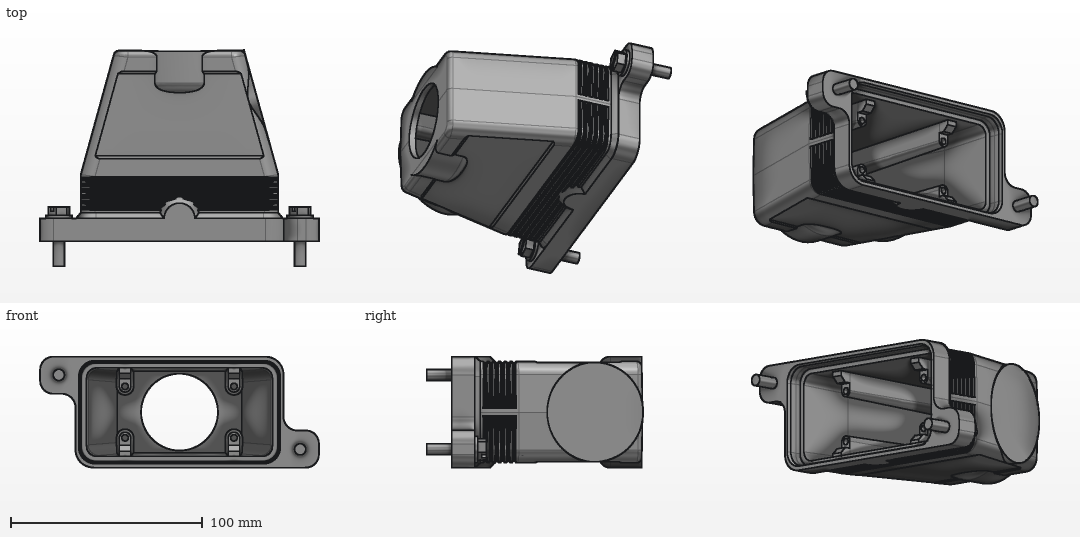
import cadquery as cq
import math


flange_thickness = 12.0
flange_half_width = 54.3
flange_half_height = 29.0
ear_reach = 72.75
ear_height = 19.5
ear_radius = 7.0
flange_corner_radius = 9.5

back_y = 99.6
bend_y = 35.0
body_half_width = 51.5
body_back_half_width = 33.7
body_half_height = 26.5
body_root_y = 5.0
body_edge_radius = 7.0
back_edge_radius = 3.0
draft_angle = 1.0
flare_length = 3.0
flare_rise = 2.5
flare_corner_radius = 10.3

panel_depth = 0.5
panel_front_y = 43.2
panel_back_y = 88.8
panel_slope_length = 1.4

groove_count = 6
groove_pitch = 3.0
groove_first_y = 17.5
groove_width = 2.4
groove_depth = 0.8
groove_wall_angle = 45.0
groove_web_half_height = 2.0

entry_diameter = 40.0
neck_radius = 29.0
neck_front_y = 76.8
neck_back_y = 99.2
neck_edge_radius = 5.9

pad_radius = 26.0
pad_centre_y = 74.87
pad_inner_depth = 10.0

lug_top_radius = 8.0
lug_side_angle = 45.0

recess_depth = 8.3
recess_half_width = 51.9
recess_half_height = 26.2
recess_radius = 8.0
rim_chamfer_width = 0.7
rim_chamfer_length = 2.0
recess_floor_chamfer_width = 0.6
recess_floor_chamfer_length = 2.8
floor_y = 96.0
cavity_bend_y = 40.0
cavity_half_width = 48.5
cavity_bend_half_width = 47.7
cavity_floor_half_width = 32.5
cavity_half_height = 23.1
cavity_floor_half_height = 21.2
cavity_edge_radius = 5.5

pillar_x = 28.4
pillar_z = 13.4
pillar_face_y = 19.0
pillar_half_width = 2.95
pillar_draft = 1.15
pillar_hole_diameter = 3.4
pillar_hole_depth = 12.0
foot_tip_y = 12.4
foot_top_z = 17.3
foot_chamfer = 3.1

screw_x = 62.9
screw_z = 19.4
screw_diameter = 5.9
screw_reach = 13.0
washer_diameter = 13.8
washer_thickness = 1.6
head_across_flats = 10.0
head_height = 4.5
head_turn = 44.0
screw_slot_width = 2.0
screw_slot_depth = 2.3


def plane_at(y):
    """Plane across the part at a given Y, facing +Y, with local y along Z."""
    return cq.Workplane(cq.Plane(origin=(0, y, 0), xDir=(-1, 0, 0), normal=(0, 1, 0)))


def rounded_bar(y, length, half_width, half_height, radius, taper=0.0):
    """Rounded rectangle extruded along +Y; a positive taper narrows it."""
    outline = cq.Sketch().rect(2 * half_width, 2 * half_height).vertices().fillet(radius)
    return plane_at(y).placeSketch(outline).extrude(length, taper=taper)


def mirrored_in_z(solid):
    return solid.union(solid.mirror("XY"))


def make_flange():
    w = flange_half_width
    h = flange_half_height
    ear_edge = h - ear_height
    flange = (
        cq.Workplane("XZ")
        .polyline([
            (-w, -h), (ear_reach, -h), (ear_reach, -ear_edge), (w, -ear_edge),
            (w, h), (-ear_reach, h), (-ear_reach, ear_edge), (-w, ear_edge),
        ])
        .close()
        .extrude(-flange_thickness)
    )
    mid_y = flange_thickness / 2
    for x, z in [(-w, -h), (w, h)]:
        flange = flange.edges(cq.selectors.NearestToPointSelector((x, mid_y, z))).fillet(flange_corner_radius)
    for side in (-1, 1):
        for x, z in [(ear_reach, -h), (ear_reach, -ear_edge), (w, -ear_edge)]:
            corner = (side * x, mid_y, side * z)
            flange = flange.edges(cq.selectors.NearestToPointSelector(corner)).fillet(ear_radius)
    return flange


def make_body():
    """Trapezoidal hood, drafted both ways from the parting plane Z = 0."""
    half = (
        cq.Workplane("XY")
        .polyline([
            (-body_half_width, body_root_y), (body_half_width, body_root_y),
            (body_half_width, bend_y), (body_back_half_width, back_y),
            (-body_back_half_width, back_y), (-body_half_width, bend_y),
        ])
        .close()
        .extrude(body_half_height, taper=draft_angle)
    )
    half = half.faces(">Z").edges("not(|X)").fillet(body_edge_radius)
    half = half.faces(">Y").edges("not(<Z)").fillet(back_edge_radius)
    return mirrored_in_z(half)


def make_panel_cut():
    """Full-width slab with sloped ends that lowers the broad faces."""
    bottom = body_half_height - panel_depth
    top = flange_half_height
    slope = panel_slope_length / panel_depth
    rise = (top - bottom) * slope
    front = panel_front_y + panel_slope_length
    back = panel_back_y - panel_slope_length
    slab = (
        cq.Workplane("YZ")
        .polyline([(front, bottom), (back, bottom), (back + rise, top), (front - rise, top)])
        .close()
        .extrude(body_half_width, both=True)
    )
    return mirrored_in_z(slab)


def make_groove(centre_y):
    """Ring with a trapezoidal section, interrupted by a web at Z = 0 on both flanks."""
    w = body_half_width
    h = body_half_height
    r = body_edge_radius
    floor_width = groove_width - 2 * groove_depth
    start = centre_y - groove_width / 2
    floor_start = start + groove_depth
    floor_end = floor_start + floor_width
    d = groove_depth
    core = rounded_bar(start, d, w, h, r, groove_wall_angle)
    core = core.union(rounded_bar(floor_start, floor_width, w - d, h - d, r - d))
    core = core.union(rounded_bar(floor_end, d, w - d, h - d, r - d, -groove_wall_angle))
    ring = rounded_bar(start, groove_width, w + d, h + d, r + d).cut(core)
    web = plane_at(start).rect(4 * w, 2 * groove_web_half_height).extrude(groove_width)
    return ring.cut(web)


def make_neck():
    neck = plane_at(neck_front_y).circle(neck_radius).extrude(neck_back_y - neck_front_y)
    return neck.faces("<Y").edges().fillet(neck_edge_radius)


def make_flank_pad():
    """Round pad filling the rounded edges of the +X flank, flush with that flank."""
    run = back_y - bend_y
    drop = body_half_width - body_back_half_width
    length = math.hypot(run, drop)
    centre_x = body_half_width - drop * (pad_centre_y - bend_y) / run
    flank = cq.Plane(
        origin=(centre_x, pad_centre_y, 0),
        xDir=(0, 0, 1),
        normal=(run / length, drop / length, 0),
    )
    return cq.Workplane(flank).circle(pad_radius).extrude(-pad_inner_depth)


def make_flare():
    """Sloped skirt between the body and the back of the flange."""
    angle = math.degrees(math.atan(flare_rise / flare_length))
    return rounded_bar(
        flange_thickness,
        flare_length,
        body_half_width + flare_rise,
        body_half_height + flare_rise,
        flare_corner_radius,
        angle,
    )


def make_lug():
    """Half-embedded cones on the broad faces, rising to the flange height."""
    height = flange_half_height - cavity_half_height
    lug = (
        cq.Workplane("XY", origin=(0, flange_thickness, flange_half_height))
        .circle(lug_top_radius)
        .extrude(-height, taper=-lug_side_angle)
    )
    in_front = cq.Workplane("XY").box(4 * flange_half_height, 2 * flange_thickness, 4 * flange_half_height)
    return mirrored_in_z(lug.cut(in_front))


def make_cavity():
    plan = (
        cq.Workplane("XY")
        .workplane(offset=-cavity_half_height)
        .polyline([
            (-cavity_half_width, recess_depth), (cavity_half_width, recess_depth),
            (cavity_bend_half_width, cavity_bend_y), (cavity_floor_half_width, floor_y),
            (-cavity_floor_half_width, floor_y), (-cavity_bend_half_width, cavity_bend_y),
        ])
        .close()
        .extrude(2 * cavity_half_height)
    )
    wedge = (
        cq.Workplane("YZ")
        .polyline([
            (recess_depth, -cavity_half_height), (floor_y, -cavity_floor_half_height),
            (floor_y, cavity_floor_half_height), (recess_depth, cavity_half_height),
        ])
        .close()
        .extrude(body_half_width, both=True)
    )
    cavity = plan.intersect(wedge)
    long_edges = cavity.edges("not(|X)").edges("not(|Z)")
    return long_edges.fillet(cavity_edge_radius)


def make_seal_recess():
    """Recess behind the mating face, chamfered at its mouth and around its floor."""
    w = recess_half_width
    h = recess_half_height
    r = recess_radius
    c = rim_chamfer_width
    floor_chamfer_y = recess_depth - recess_floor_chamfer_length
    mouth_angle = math.degrees(math.atan(rim_chamfer_width / rim_chamfer_length))
    floor_angle = math.degrees(math.atan(recess_floor_chamfer_width / recess_floor_chamfer_length))
    recess = rounded_bar(0, floor_chamfer_y, w, h, r)
    mouth = rounded_bar(0, rim_chamfer_length, w + c, h + c, r + c, mouth_angle)
    floor = rounded_bar(floor_chamfer_y, recess_floor_chamfer_length, w, h, r, floor_angle)
    return recess.union(mouth).union(floor)


def make_pillar():
    """Drafted screw pillar with a foot along the wall, for the +X, +Z corner."""
    wall_z = cavity_half_height
    w = pillar_half_width
    pillar = (
        plane_at(pillar_face_y)
        .moveTo(-pillar_x - w, wall_z)
        .lineTo(-pillar_x - w, pillar_z)
        .threePointArc((-pillar_x, pillar_z - w), (-pillar_x + w, pillar_z))
        .lineTo(-pillar_x + w, wall_z)
        .close()
        .extrude(floor_y - pillar_face_y, taper=-pillar_draft)
    )
    foot = (
        cq.Workplane("YZ", origin=(pillar_x, 0, 0))
        .polyline([
            (pillar_face_y, foot_top_z),
            (foot_tip_y + foot_chamfer, foot_top_z), (foot_tip_y, foot_top_z + foot_chamfer),
            (foot_tip_y, wall_z), (pillar_face_y, wall_z),
        ])
        .close()
        .extrude(w, both=True)
    )
    hole = (
        plane_at(pillar_face_y)
        .center(-pillar_x, pillar_z)
        .circle(pillar_hole_diameter / 2)
        .extrude(pillar_hole_depth)
    )
    return pillar.union(foot).cut(hole)


def make_screw():
    """Slotted hexagon screw with washer, for the ear at -X, +Z."""
    washer_top = flange_thickness + washer_thickness
    head_top = washer_top + head_height
    head_across_corners = head_across_flats / math.cos(math.pi / 6)

    def at(y):
        return plane_at(y).center(screw_x, screw_z)

    shank = at(-screw_reach).circle(screw_diameter / 2).extrude(screw_reach + flange_thickness)
    washer = at(flange_thickness).circle(washer_diameter / 2).extrude(washer_thickness)
    head = (
        at(washer_top)
        .transformed(rotate=(0, 0, -head_turn))
        .polygon(6, head_across_corners)
        .extrude(head_height)
    )
    slot = (
        at(head_top)
        .transformed(rotate=(0, 0, 90 - head_turn))
        .rect(2 * head_across_flats, screw_slot_width)
        .extrude(-screw_slot_depth)
    )
    return shank.union(washer).union(head.cut(slot))


result = make_body().cut(make_panel_cut())
for index in range(groove_count):
    result = result.cut(make_groove(groove_first_y + index * groove_pitch))
result = result.union(make_neck()).union(make_flank_pad())
result = result.union(make_flare()).union(make_flange()).union(make_lug())

result = result.cut(make_seal_recess()).cut(make_cavity())
result = result.cut(plane_at(0).circle(entry_diameter / 2).extrude(back_y))

pillar = make_pillar()
pillar_pair = pillar.union(pillar.mirror("YZ"))
result = result.union(mirrored_in_z(pillar_pair))

screw = make_screw()
ear_shift = (2 * screw_x, 0, -2 * screw_z)
result = result.union(screw).union(screw.translate(ear_shift))